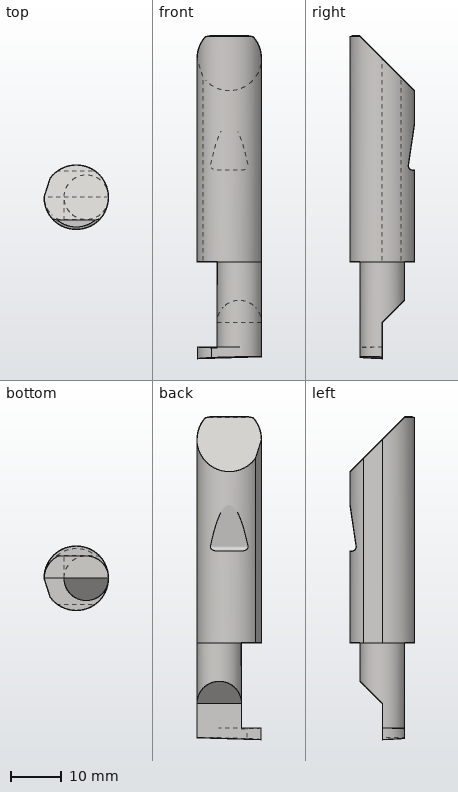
import cadquery as cq
import math

total_height = 63.5
shank_radius = 6.35
shank_bottom = 19.05
neck_radius = 4.4
neck_center_x = shank_radius - neck_radius
cut_span = 3 * shank_radius

land_edge_y = -4.45
rim_chamfer_width = 0.5
rim_chamfer_height = 0.2

side_flat_y = 3.7

notch_depth = 1.2
notch_bottom = 37.1
notch_top = 46.1
notch_corner_radius = 0.9

neck_relief_bottom = 7.1
tip_x = -6.3
tip_flank_radius = 4.8
tip_top = 2.35
tip_top_drop = 0.2
bottom_slope_x = 0.03
bottom_slope_y = 0.04


def extrude_x(profile):
    """Extrude a YZ profile symmetrically about X = 0."""
    return profile.extrude(cut_span, both=True)


def make_shank():
    shank = (
        cq.Workplane("XY", origin=(0, 0, shank_bottom))
        .circle(shank_radius)
        .extrude(total_height - shank_bottom)
        .faces(">Z")
        .chamfer(rim_chamfer_height, rim_chamfer_width)
    )
    flat_x = -math.sqrt(shank_radius**2 - side_flat_y**2)
    side_flat = (
        cq.Workplane("XY")
        .moveTo(-shank_radius, 0)
        .lineTo(flat_x, side_flat_y)
        .lineTo(-cut_span, side_flat_y)
        .lineTo(-cut_span, 0)
        .close()
        .extrude(total_height)
    )
    end_slant = extrude_x(
        cq.Workplane("YZ")
        .moveTo(land_edge_y, total_height)
        .lineTo(land_edge_y + cut_span, total_height - cut_span)
        .lineTo(land_edge_y + cut_span, total_height)
        .close()
    )
    return shank.cut(side_flat).cut(end_slant).cut(make_notch())


def make_notch():
    """Sloping flat that ends in a rounded shoulder."""
    floor_y = shank_radius - notch_depth
    shoulder_y = floor_y + notch_corner_radius
    corner_z = notch_bottom + notch_corner_radius
    arc_offset = notch_corner_radius * (1 - math.sqrt(0.5))
    return extrude_x(
        cq.Workplane("YZ")
        .moveTo(shank_radius, notch_top)
        .lineTo(floor_y, corner_z)
        .threePointArc((floor_y + arc_offset, notch_bottom + arc_offset), (shoulder_y, notch_bottom))
        .lineTo(shank_radius, notch_bottom)
        .close()
    )


def make_neck():
    """Offset cylinder, cut back to Y = 0 near the tip with a 45 degree run-out."""
    neck = cq.Workplane("XY").center(neck_center_x, 0).circle(neck_radius).extrude(shank_bottom)
    relief = extrude_x(
        cq.Workplane("YZ")
        .lineTo(0, neck_relief_bottom)
        .lineTo(shank_radius, neck_relief_bottom + shank_radius)
        .lineTo(shank_radius, 0)
        .close()
    )
    return neck.cut(relief)


def make_tip():
    """Hook with a convex flank and a top face that falls away from the cutting face."""
    flank_center_x = tip_x + tip_flank_radius
    flank_angle = math.asin(neck_radius / tip_flank_radius)

    def flank_point(angle):
        x = flank_center_x - tip_flank_radius * math.cos(angle)
        return x, -tip_flank_radius * math.sin(angle)

    tip = (
        cq.Workplane("XY")
        .moveTo(tip_x, 0)
        .threePointArc(flank_point(flank_angle / 2), flank_point(flank_angle))
        .lineTo(neck_center_x, -neck_radius)
        .lineTo(neck_center_x, 0)
        .close()
        .extrude(tip_top)
    )
    top_relief = (
        cq.Workplane("YZ", origin=(neck_center_x - neck_radius, 0, 0))
        .moveTo(0, tip_top)
        .lineTo(-neck_radius, tip_top - tip_top_drop)
        .lineTo(-neck_radius, tip_top)
        .close()
        .extrude(-cut_span)
    )
    return tip.cut(top_relief)


def make_bottom_clearance():
    """Block below a plane that rises toward +X and -Y from the cutting corner."""
    plane = cq.Plane(
        origin=(tip_x, 0, 0),
        xDir=(1, 0, bottom_slope_x),
        normal=(-bottom_slope_x, bottom_slope_y, 1),
    )
    return cq.Workplane(plane).rect(2 * cut_span, 2 * cut_span).extrude(-shank_radius)


result = make_shank().union(make_neck()).union(make_tip()).cut(make_bottom_clearance())